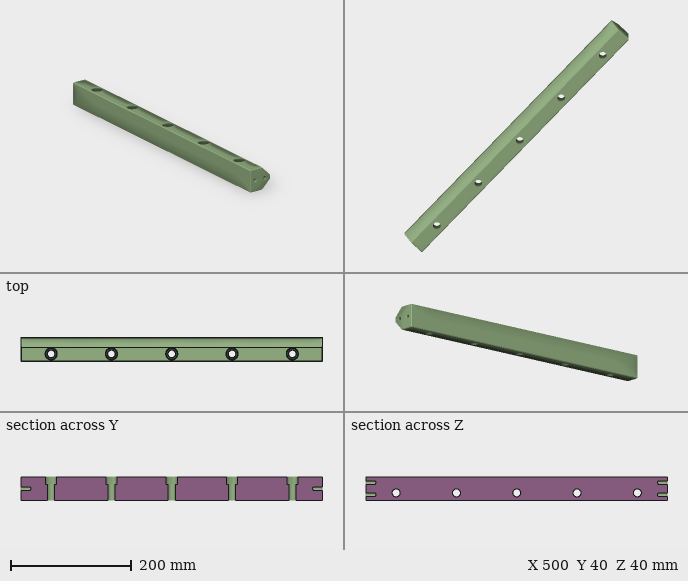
import cadquery as cq
import math

LENGTH = 500.0
WIDTH = 40.0
HEIGHT = 40.0

TRACK_BEVEL = 16.0

EDGE_CHAMFER = 1.2
CHAMFER_ANGLE = 45.0

MOUNT_COUNT = 5
MOUNT_PITCH = LENGTH / MOUNT_COUNT
MOUNT_OFFSET = 13.0
MOUNT_DIAMETER = 12.5
COUNTERBORE_DIAMETER = 18.5
COUNTERBORE_DEPTH = 12.5
COUNTERBORE_CHAMFER = 0.75

END_HOLE_DIAMETER = 5.25
END_HOLE_DEPTH = 15.0
END_HOLE_MOUTH_DIAMETER = 7.0
DRILL_POINT_ANGLE = 118.0
END_HOLE_OFFSETS = (10.0, 30.0)


def rail_body():
    """Solid bar with a tapered +Y side; the back face lies on Y = 0."""
    body = cq.Workplane("XY").box(LENGTH, WIDTH, HEIGHT, centered=(False, False, True))
    body = body.edges("|X and >Y").chamfer(TRACK_BEVEL)
    back_edges = body.edges("<Y")
    end_edges = body.edges("|Y").edges("<Z or >Z")
    return back_edges.add(end_edges).chamfer(EDGE_CHAMFER)


def cut_mounting_holes(body):
    """Row of holes at an even pitch, counterbored from the top face with chamfered mouths."""
    first_x = MOUNT_PITCH / 2
    centers = [(first_x + i * MOUNT_PITCH, MOUNT_OFFSET) for i in range(MOUNT_COUNT)]
    mouth_diameter = COUNTERBORE_DIAMETER + 2 * COUNTERBORE_CHAMFER
    top = body.faces(">Z").workplane(origin=(0, 0, 0)).pushPoints(centers)
    drilled = top.cboreHole(MOUNT_DIAMETER, COUNTERBORE_DIAMETER, COUNTERBORE_DEPTH)
    mouth = (
        cq.Workplane("XY", origin=(0, 0, HEIGHT / 2))
        .circle(mouth_diameter / 2)
        .extrude(-COUNTERBORE_CHAMFER, taper=CHAMFER_ANGLE)
    )
    for x, y in centers:
        drilled = drilled.cut(mouth.translate((x, y, 0)))
    return drilled


def end_hole_cutter():
    """Drilled hole along +X from the origin: countersunk mouth, straight bore and conical tip."""
    bore_radius = END_HOLE_DIAMETER / 2
    mouth_radius = END_HOLE_MOUTH_DIAMETER / 2
    mouth_depth = mouth_radius - bore_radius
    tip_depth = bore_radius / math.tan(math.radians(DRILL_POINT_ANGLE / 2))
    half_section = [
        (0, 0),
        (0, mouth_radius),
        (mouth_depth, bore_radius),
        (END_HOLE_DEPTH, bore_radius),
        (END_HOLE_DEPTH + tip_depth, 0),
    ]
    return cq.Workplane("XY").polyline(half_section).close().revolve(360, (0, 0), (1, 0))


def cut_end_holes(body):
    """Pair of blind holes at mid height in both end faces."""
    near_hole = end_hole_cutter()
    far_hole = near_hole.mirror("YZ").translate((LENGTH, 0, 0))
    for offset in END_HOLE_OFFSETS:
        for hole in (near_hole, far_hole):
            body = body.cut(hole.translate((0, offset, 0)))
    return body


result = cut_end_holes(cut_mounting_holes(rail_body()))